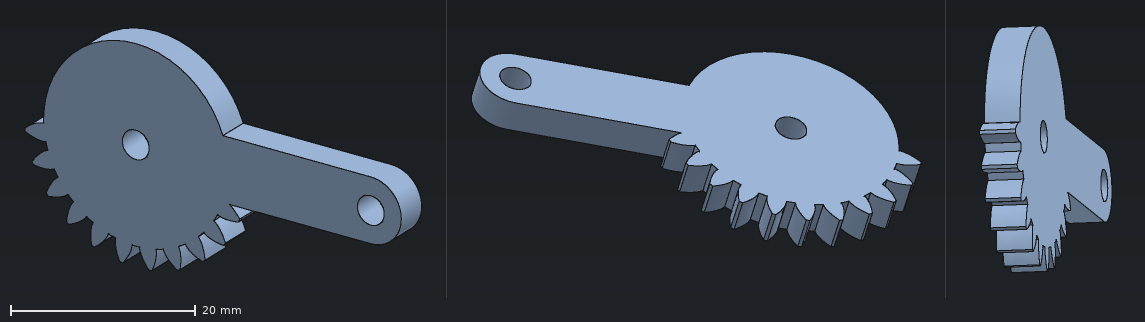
import cadquery as cq
import math

thickness = 4.0
hole_diameter = 3.5

arm_width = 8.0
hole_spacing = 30.75

root_radius = 12.1
pitch_radius = 13.5
tip_radius = 14.65
full_tooth_count = 24
sector_tooth_count = 11
backlash = 0.15
pressure_angle = math.radians(25)
tooth_pitch = 360 / full_tooth_count
first_tooth_angle = 180 + tooth_pitch / 2
base_radius = pitch_radius * math.cos(pressure_angle)
tooth_foot_radius = 0.9 * root_radius
flank_samples = 6


def involute(angle):
    return math.tan(angle) - angle


def half_tooth_angle(radius):
    """Half the angle, in radians, that a tooth spans at the given radius."""
    local_pressure_angle = math.acos(base_radius / radius)
    half_angle_at_pitch = math.pi / (2 * full_tooth_count) - backlash / (2 * pitch_radius)
    return half_angle_at_pitch + involute(pressure_angle) - involute(local_pressure_angle)


def polar(radius, angle):
    return (radius * math.cos(angle), radius * math.sin(angle))


def make_tooth():
    """One involute tooth pointing along +X, with radial sides below the base circle."""
    step = (tip_radius - base_radius) / (flank_samples - 1)
    radii = [base_radius + i * step for i in range(flank_samples)]
    lower_flank = [polar(r, -half_tooth_angle(r)) for r in radii]
    upper_flank = [polar(r, half_tooth_angle(r)) for r in reversed(radii)]
    foot_half_angle = half_tooth_angle(base_radius)
    return (
        cq.Workplane("XZ")
        .moveTo(*polar(tooth_foot_radius, -foot_half_angle))
        .lineTo(*lower_flank[0])
        .spline(lower_flank[1:], includeCurrent=True)
        .threePointArc((tip_radius, 0), upper_flank[0])
        .spline(upper_flank[1:], includeCurrent=True)
        .lineTo(*polar(tooth_foot_radius, foot_half_angle))
        .close()
        .extrude(thickness)
    )


def make_arm():
    """Straight bar from the gear centre to a full-round end."""
    half_width = arm_width / 2
    return (
        cq.Workplane("XZ")
        .moveTo(0, -half_width)
        .lineTo(hole_spacing, -half_width)
        .threePointArc((hole_spacing + half_width, 0), (hole_spacing, half_width))
        .lineTo(0, half_width)
        .close()
        .extrude(thickness)
    )


result = cq.Workplane("XZ").circle(root_radius).extrude(thickness).union(make_arm())

tooth = make_tooth()
for index in range(sector_tooth_count):
    angle = first_tooth_angle + index * tooth_pitch
    result = result.union(tooth.rotate((0, 0, 0), (0, -1, 0), angle))

holes = (
    cq.Workplane("XZ")
    .pushPoints([(0, 0), (hole_spacing, 0)])
    .circle(hole_diameter / 2)
    .extrude(thickness)
)
result = result.cut(holes)